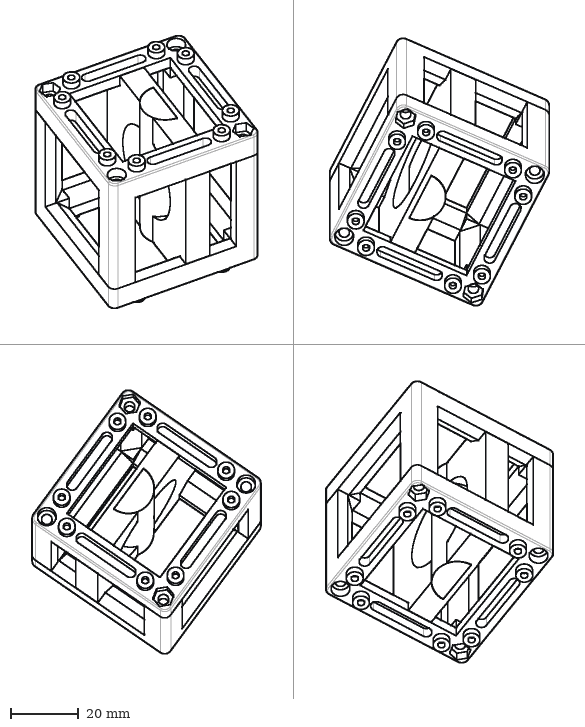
import cadquery as cq
import math

overall_height = 54.5
cube_side = 49.8
half_side = cube_side / 2
foot_height = (overall_height - cube_side) / 2
window_side = 33.8
half_window = window_side / 2
rail_side = half_side - half_window

rail_bevel_leg = 4.1
post_bevel_leg = 4.5
corner_radius = 2.2
rim_radius = 0.5
foot_diameter = 4.95
foot_bore_diameter = 2.05
rail_line = 20.65
foot_reach = 14.2
slot_length = 21.0
slot_width = 3.3
slot_depth = 4.05
bolt_place = 21.15
bolt_diameter = 3.1
bolt_head_diameter = 5.5
bolt_head_depth = 3.25
nut_across_flats = 5.5
nut_depth = 3.25
nut_turn = 15

plate_thickness = 8.05
light_hole_diameter = 30.0
plate_clearance = 0.05
insert_length = cube_side - 2 * plate_clearance
lens_radius = 7.5
lens_clearance = 0.1
lens_x = -0.15
lens_flat_y = 6.4


def on_top(places):
    """Workplane on the top of the cube with the given places selected."""
    return cq.Workplane("XY", origin=(0, 0, half_side)).pushPoints(places)


def rail_ring():
    """Square ring of four rails at the top of the cube."""
    ring = cq.Workplane().workplane(offset=half_window).rect(cube_side, cube_side).extrude(rail_side)
    return ring.cut(cq.Workplane().box(window_side, window_side, 2 * cube_side))


def rail_bevel():
    """Wedge that bevels the lower inner edge of the +X rail between the corner pads."""
    return (
        cq.Workplane("XZ", origin=(0, half_window, 0))
        .moveTo(half_window, half_window)
        .lineTo(half_window + rail_bevel_leg, half_window)
        .lineTo(half_window, half_window + rail_bevel_leg)
        .close()
        .extrude(window_side)
    )


def corner_post():
    """Post of the (+X, -Y) corner with its inner edge bevelled."""
    return (
        cq.Workplane("XY", origin=(0, 0, -half_window))
        .moveTo(half_window, -half_side)
        .lineTo(half_side, -half_side)
        .lineTo(half_side, -half_window)
        .lineTo(half_window + post_bevel_leg, -half_window)
        .lineTo(half_window, -half_window - post_bevel_leg)
        .close()
        .extrude(window_side)
    )


def outer_envelope():
    """Whole cube with rounded upright edges and finely rounded top and bottom edges."""
    cube = cq.Workplane().box(cube_side, cube_side, cube_side)
    return cube.edges("|Z").fillet(corner_radius).faces("<Z or >Z").edges().fillet(rim_radius)


def on_rails(far, near):
    """Eight places, a mirrored pair on each rail."""
    return [
        (side_x * x, side_y * y)
        for x, y in ((far, near), (near, far))
        for side_x in (-1, 1)
        for side_y in (-1, 1)
    ]


def add_feet(frame):
    """Add the bored round feet on the rails."""
    places = on_rails(rail_line, foot_reach)
    feet = on_top(places).circle(foot_diameter / 2).extrude(foot_height)
    bores = on_top(places).circle(foot_bore_diameter / 2).extrude(foot_height)
    return frame.union(feet).cut(bores)


def cut_slots(frame):
    """Cut one blind slot along the middle of each rail."""
    along_x = on_top([(0, -rail_line), (0, rail_line)]).slot2D(slot_length, slot_width)
    along_y = on_top([(-rail_line, 0), (rail_line, 0)]).slot2D(slot_length, slot_width, 90)
    return frame.cut(along_x.extrude(-slot_depth)).cut(along_y.extrude(-slot_depth))


def cut_bolt_holes(frame):
    """Cut the corner bolt holes: head counterbores above the posts, nut pockets on the other corners."""
    head_places = [(bolt_place, -bolt_place), (-bolt_place, bolt_place)]
    nut_places = [(bolt_place, bolt_place), (-bolt_place, -bolt_place)]
    bolts = on_top(head_places + nut_places).circle(bolt_diameter / 2).extrude(-cube_side)
    heads = on_top(head_places).circle(bolt_head_diameter / 2).extrude(-bolt_head_depth)
    frame = frame.cut(bolts).cut(heads)
    nut_across_corners = nut_across_flats / math.cos(math.radians(30))
    for x, y in nut_places:
        nut = cq.Workplane().polygon(6, nut_across_corners).extrude(-nut_depth)
        nut = nut.rotate((0, 0, 0), (0, 0, 1), nut_turn)
        frame = frame.cut(nut.translate((x, y, half_side)))
    return frame


def frame_half():
    """Upper frame half: rail ring with two diagonal posts, feet, slots and bolt holes."""
    frame = rail_ring()
    for quarter_turn in range(4):
        frame = frame.cut(rail_bevel().rotate((0, 0, 0), (0, 0, 1), 90 * quarter_turn))
    for half_turn in range(2):
        frame = frame.union(corner_post().rotate((0, 0, 0), (0, 0, 1), 180 * half_turn))
    frame = frame.intersect(outer_envelope())
    return cut_bolt_holes(cut_slots(add_feet(frame)))


def half_round_bar(radius):
    """Half-round bar: flat side toward +Y, axis along Z as tall as the plate."""
    return (
        cq.Workplane("XY", origin=(lens_x, lens_flat_y, -insert_length / 2))
        .moveTo(-radius, 0)
        .threePointArc((0, -radius), (radius, 0))
        .close()
        .extrude(insert_length)
    )


def insert_plate():
    """Cross-shaped plate that fills the windows, with a light hole and the lens groove."""
    width = window_side - 2 * plate_clearance
    across = cq.Workplane().box(insert_length, plate_thickness, width)
    upright = cq.Workplane().box(width, plate_thickness, insert_length)
    diamond_side = (window_side + rail_bevel_leg) * math.sqrt(2) - 2 * plate_clearance
    diamond = cq.Workplane().box(diamond_side, plate_thickness, diamond_side)
    diamond = diamond.rotate((0, 0, 0), (0, 1, 0), 45)
    middle_side = width + 2 * rail_bevel_leg
    middle = cq.Workplane().box(middle_side, plate_thickness, middle_side).intersect(diamond)
    plate = across.union(upright).union(middle).translate((0, plate_thickness / 2, 0))
    light_hole = cq.Workplane("XZ").circle(light_hole_diameter / 2).extrude(-plate_thickness)
    lens_groove = half_round_bar(lens_radius + lens_clearance)
    return plate.cut(light_hole).cut(lens_groove)


upper_frame = frame_half()
lower_frame = frame_half().rotate((0, 0, 0), (1, 0, 0), 180)
plate = insert_plate()
lens = half_round_bar(lens_radius)

result = cq.Compound.makeCompound([upper_frame.val(), lower_frame.val(), plate.val(), lens.val()])